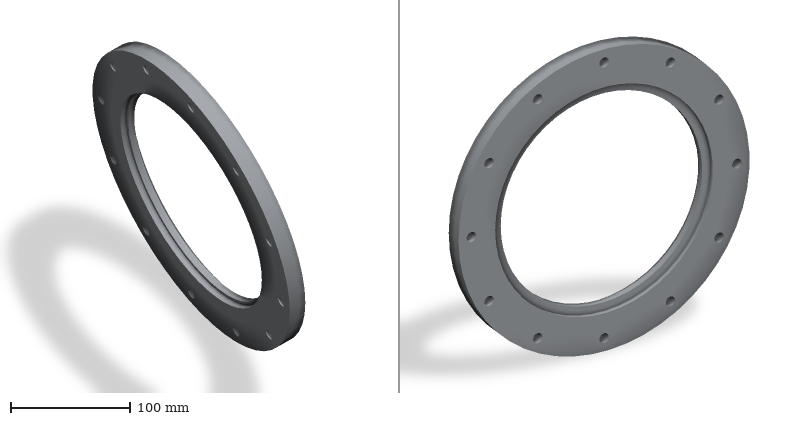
import cadquery as cq

outer_diameter = 285.0
thickness = 16.0
bore_diameter = 197.2

front_recess_diameter = 204.0
front_recess_depth = 5.7
back_recess_diameter = 213.2
lip_thickness = 6.0

bolt_count = 12
bolt_hole_diameter = 9.0
bolt_circle_diameter = 260.0

front_y = -thickness / 2
lip_back_depth = front_recess_depth + lip_thickness


def cylinder(diameter, start_depth, end_depth):
    """Cylinder along Y between two depths measured from the -Y face."""
    plane = cq.Workplane("XZ", origin=(0, front_y + start_depth, 0))
    return plane.circle(diameter / 2).extrude(start_depth - end_depth)


def bolt_holes():
    """Through holes evenly spaced on the bolt circle, the first on +X."""
    plane = cq.Workplane("XZ", origin=(0, front_y, 0))
    centers = plane.polarArray(bolt_circle_diameter / 2, 0, 360, bolt_count)
    return centers.circle(bolt_hole_diameter / 2).extrude(-thickness)


ring = cylinder(outer_diameter, 0, thickness)
bore = cylinder(bore_diameter, 0, thickness)
front_recess = cylinder(front_recess_diameter, 0, front_recess_depth)
back_recess = cylinder(back_recess_diameter, lip_back_depth, thickness)

result = ring.cut(bore).cut(front_recess).cut(back_recess).cut(bolt_holes())